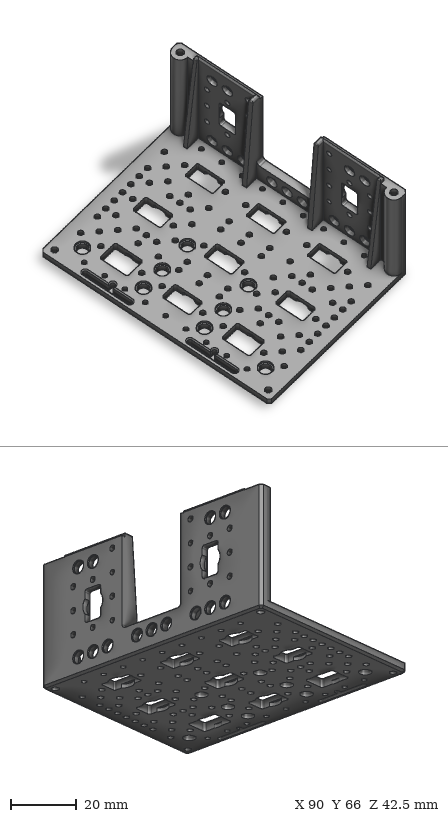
import cadquery as cq
length = 90.0
depth = 66.0
height = 42.5

pitch = length / 22.5
tiny_hole = 1.7
small_hole = 2.0
front_corner_hole = 2.25
post_hole = 2.5
large_hole = 4.05
plate_hole_recess = 5.0
plate_hole_recess_depth = 0.8
wall_hole_recess = 4.4
wall_hole_recess_depth = 0.5

plate_thickness = 3.0
corner_chamfer = 1.0
bottom_chamfer = 0.7
edge_margin = 0.4
window_length = 11.0
window_radius = 0.8
window_radius_rear = 0.45
window_depth_rear = 6.0
window_depth_middle = 6.4
window_depth_large = 7.6
round_recess = 8.1
plate_recess_depth = 1.3
wall_recess_depth = 1.9

slot_length = 19.3
slot_width = 1.7
slot_center_x = 20.6
slot_from_front = 2.25
slot_chamfer = 0.45
notch_width = 1.6
notch_from_front = 4.9

back_y = depth / 2
front_y = -depth / 2
wall_height = 41.0
wall_thickness = 3.0
panel_thickness = 2.3
post_radius = 3.0
gap_half_width = 3 * pitch
gap_floor = 10.0
gap_fillet = 1.35
panel_outer_x = 36.8
outer_rib_width = 1.4
inner_rib_width = 1.7
rib_foot_reach = 7.7
outer_rib_top_reach = wall_thickness
inner_rib_top_reach = 4.7
tongue_width = 1.0
tongue_fillet = 0.499 * tongue_width
wall_window_width = 6.4
wall_window_height = 11.2

post_column = 10.5
corner_row = 7.5
window_column = 6
window_row = 5
middle_row_column = 7
notch_column = 5
small_rows = {
    5: [2, 4, 8, 10],
    4: [9],
    3: [0, 2, 4, 6, 8, 10],
    2: [0, 2, 5, 6, 7, 9, 10],
    1: [4, 10],
    0: [2, 5, 9, 10],
}
tiny_row = 7
tiny_columns = [0, 2, 4, 6, 8]
plate_large_spots = [(3, -0.75), (3, -3.75), (3, -6), (9, -6)]
wall_small_spots = [(8, 7.5), (8, 5.5), (8, 3.5), (6, 7.5), (6, 3.5), (4, 9.5), (4, 5.5)]
wall_tiny_spots = [(4, 7.5), (4, 3.5)]
wall_large_spots = [(0, 1.5), (1.5, 1.5), (4.5, 1.5), (6, 1.5), (7.5, 1.5), (6, 9), (7.5, 9)]
wall_window_spot = (6, 5.5)


def block(x_range, y_range, z_range):
    """Axis-aligned box between the given limits."""
    x0, x1 = x_range
    y0, y1 = y_range
    z0, z1 = z_range
    return cq.Workplane("XY").box(x1 - x0, y1 - y0, z1 - z0, centered=False).translate((x0, y0, z0))


def both_sides(spots):
    """Pitch positions turned into lengths, with their mirror images about X = 0."""
    signed = {(side * x, other) for x, other in spots for side in (-1, 1)}
    return [(x * pitch, other * pitch) for x, other in sorted(signed)]


def mirrored(body):
    """The body joined with its mirror image about X = 0."""
    return body.union(body.mirror("YZ"))


def upright_holes(spots, diameter, z0=0.0):
    """Vertical cylinders from z0 upward."""
    bottom_plane = cq.Workplane("XY", origin=(0, 0, z0))
    return bottom_plane.pushPoints(both_sides(spots)).circle(diameter / 2).extrude(height)


def wall_plane():
    """XZ plane on the back face, extruding toward the front."""
    return cq.Workplane("XZ", origin=(0, back_y, 0))


def wall_holes(spots, diameter, hole_depth=wall_thickness):
    """Cylinders into the rear wall from its back face."""
    return wall_plane().pushPoints(both_sides(spots)).circle(diameter / 2).extrude(hole_depth)


def window(x, y, window_depth, radius):
    """Rounded rectangular opening through the plate with a round recess underneath."""
    opening = cq.Workplane("XY").rect(window_length, window_depth).extrude(plate_thickness)
    opening = opening.edges("|Z").fillet(radius)
    opening = opening.union(cq.Workplane("XY").circle(round_recess / 2).extrude(plate_recess_depth))
    return opening.translate((x * pitch, y * pitch, 0))


def plate_windows():
    """Three rows of three windows; the middle row is spread wider."""
    cutter = window(0, 0, window_depth_middle, window_radius)
    cutter = cutter.union(window(0, window_row, window_depth_rear, window_radius_rear))
    cutter = cutter.union(window(0, -window_row, window_depth_middle, window_radius))
    side_windows = window(window_column, window_row, window_depth_rear, window_radius_rear)
    side_windows = side_windows.union(window(middle_row_column, 0, window_depth_middle, window_radius))
    side_windows = side_windows.union(window(window_column, -window_row, window_depth_large, window_radius))
    return cutter.union(mirrored(side_windows))


def cable_slot():
    """Right-hand slot with a short notch toward the rear and a chamfered top edge."""
    slot_y = front_y + slot_from_front
    notch_length = notch_from_front - slot_from_front + notch_width / 2
    notch_y = front_y + notch_from_front - notch_length / 2
    slot = (
        cq.Workplane("XY")
        .center(slot_center_x, slot_y)
        .slot2D(slot_length, slot_width)
        .extrude(plate_thickness)
    )
    notch = (
        cq.Workplane("XY")
        .center(notch_column * pitch, notch_y)
        .slot2D(notch_length, notch_width, 90)
        .extrude(plate_thickness)
    )
    return slot.union(notch)


def base_plate():
    """Plate with its windows and its cable slots, which are chamfered on top."""
    plate = block((-length / 2, length / 2), (front_y, back_y), (0, plate_thickness))
    plate = plate.cut(plate_windows())
    plate = plate.cut(mirrored(cable_slot()))
    slot_edges = cq.selectors.BoxSelector(
        (-length / 2 + edge_margin, front_y + edge_margin, 0),
        (length / 2 - edge_margin, front_y + notch_from_front + edge_margin, plate_thickness + edge_margin),
    )
    return plate.faces(">Z").edges(slot_edges).chamfer(slot_chamfer)


def wall_windows():
    """Rounded openings through the wall with a round recess in the back face."""
    centers = both_sides([wall_window_spot])
    openings = wall_plane().pushPoints(centers).rect(wall_window_width, wall_window_height)
    openings = openings.extrude(wall_thickness).edges("|Y").fillet(window_radius)
    recesses = wall_plane().pushPoints(centers).circle(round_recess / 2).extrude(wall_recess_depth)
    return openings.union(recesses)


def low_wall():
    """Wall with a post in each rear corner, before the gap and panels are cut."""
    wall = block((-length / 2, length / 2), (back_y - wall_thickness, back_y), (0, wall_height))
    post_x = length / 2 - post_radius
    posts = (
        cq.Workplane("XY")
        .pushPoints([(-post_x, back_y - post_radius), (post_x, back_y - post_radius)])
        .circle(post_radius)
        .extrude(wall_height)
    )
    return wall.union(posts)


def panel_recess():
    """Thins the wall between the ribs of the right-hand panel."""
    return block(
        (gap_half_width + inner_rib_width, panel_outer_x - outer_rib_width),
        (back_y - wall_thickness, back_y - panel_thickness),
        (plate_thickness, height),
    )


def rib(x_start, width, top_reach):
    """Tapered rib; reaches are measured from the back face."""
    tongue_back = back_y - panel_thickness + tongue_width
    profile = [
        (tongue_back, plate_thickness),
        (back_y - rib_foot_reach, plate_thickness),
        (back_y - top_reach, height),
        (tongue_back, height),
    ]
    return cq.Workplane("YZ", origin=(x_start, 0, 0)).polyline(profile).close().extrude(width)


def ribs_and_tongue():
    """Two ribs of the right-hand panel and the rounded tongue that joins their tops."""
    tongue_front = back_y - panel_thickness
    tongue = block(
        (gap_half_width, panel_outer_x),
        (tongue_front, tongue_front + tongue_width),
        (wall_height - tongue_width, height),
    )
    inner_rib = rib(gap_half_width, inner_rib_width, inner_rib_top_reach)
    outer_rib = rib(panel_outer_x - outer_rib_width, outer_rib_width, outer_rib_top_reach)
    frame = tongue.union(inner_rib).union(outer_rib)
    return frame.faces(">Z").edges().fillet(tongue_fillet)


def gap():
    """Opening between the two panels, with rounded lower corners."""
    opening = block(
        (-gap_half_width, gap_half_width),
        (back_y - wall_thickness, back_y),
        (gap_floor, height),
    )
    return opening.edges("|Y and <Z").fillet(gap_fillet)


def plate_holes():
    """Holes through the plate; the rear corner pair runs up through the posts."""
    small_spots = {(x, side * row) for row, columns in small_rows.items() for x in columns for side in (-1, 1)}
    cutter = upright_holes(small_spots, small_hole)
    tiny_spots = [(x, row) for x in tiny_columns for row in (-tiny_row, tiny_row)]
    cutter = cutter.union(upright_holes(tiny_spots, tiny_hole))
    cutter = cutter.union(upright_holes([(post_column, corner_row)], post_hole))
    cutter = cutter.union(upright_holes([(post_column, -corner_row)], front_corner_hole))
    cutter = cutter.union(upright_holes(plate_large_spots, large_hole))
    recess_floor = plate_thickness - plate_hole_recess_depth
    return cutter.union(upright_holes(plate_large_spots, plate_hole_recess, recess_floor))


outline = block((-length / 2, length / 2), (front_y, back_y), (0, height))
outline = outline.edges("|Z").chamfer(corner_chamfer)
outline = outline.faces("<Z").edges().chamfer(bottom_chamfer)

body = base_plate().union(low_wall()).intersect(outline)
body = body.cut(gap())
body = body.cut(mirrored(panel_recess()))
body = body.union(mirrored(ribs_and_tongue()))
body = body.cut(wall_windows()).cut(plate_holes())
body = body.cut(wall_holes(wall_small_spots, small_hole))
body = body.cut(wall_holes(wall_tiny_spots, tiny_hole))
body = body.cut(wall_holes(wall_large_spots, large_hole))
body = body.cut(wall_holes(wall_large_spots, wall_hole_recess, wall_hole_recess_depth))

result = body